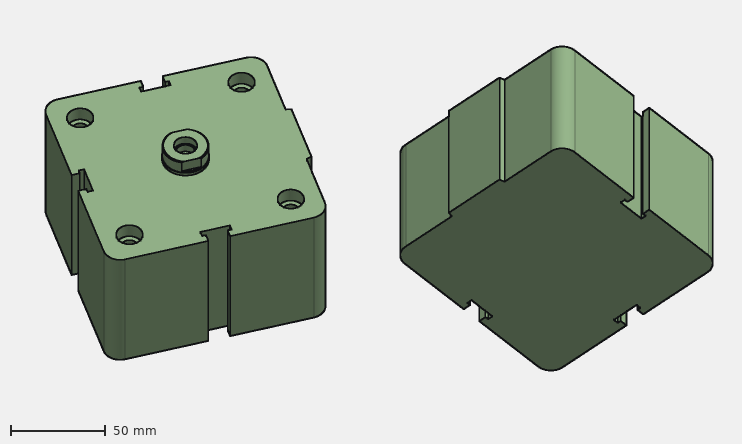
import cadquery as cq

OVERALL_LENGTH = 125.0

BLOCK_SIDE = 122.0
BLOCK_HEIGHT = 76.5
CORNER_RADIUS = 9.0

PAD_BASE_WIDTH = 38.0
PAD_FACE_WIDTH = 36.2
PAD_REACH = OVERALL_LENGTH - BLOCK_SIDE

SLOT_MOUTH_WIDTH = 12.0
SLOT_LIP = 4.5
SLOT_HEAD_WIDTH = 16.2
SLOT_DEPTH = 7.5
SLOT_ANGLES = (-90, 0, 90)

HOLE_SPACING = 89.0
HOLE_DIAMETER = 8.4
HOLE_DEPTH = 19.6
COUNTERBORE_DIAMETER = 14.0
COUNTERBORE_DEPTH = 8.5

ROD_HEIGHT = 10.0
COLLAR_DIAMETER = 25.0
COLLAR_HEIGHT = 2.0
TIP_DIAMETER = 24.5
TIP_CHAMFER = 0.5
FLATS_WIDTH = 22.0
FLATS_START = 3.0
BORE_DIAMETER = 10.2
BORE_ENTRY_DIAMETER = 12.2
BORE_ENTRY_DEPTH = 5.0


def make_pad():
    """Full-height pad on the +Y side, narrowing slightly towards its outer face."""
    half_block = BLOCK_SIDE / 2
    half_base = PAD_BASE_WIDTH / 2
    half_face = PAD_FACE_WIDTH / 2
    return (
        cq.Workplane("XY")
        .moveTo(-half_base, 0)
        .lineTo(-half_base, half_block)
        .lineTo(-half_face, half_block + PAD_REACH)
        .lineTo(half_face, half_block + PAD_REACH)
        .lineTo(half_base, half_block)
        .lineTo(half_base, 0)
        .close()
        .extrude(BLOCK_HEIGHT)
    )


def make_t_slot(angle):
    """Full-height T-slot cutter on the -Y side, turned about Z by the angle."""
    side = -BLOCK_SIDE / 2
    half_mouth = SLOT_MOUTH_WIDTH / 2
    half_head = SLOT_HEAD_WIDTH / 2
    slot = (
        cq.Workplane("XY")
        .moveTo(-half_mouth, side)
        .lineTo(-half_mouth, side + SLOT_LIP)
        .lineTo(-half_head, side + SLOT_LIP)
        .lineTo(-half_head, side + SLOT_DEPTH)
        .lineTo(half_head, side + SLOT_DEPTH)
        .lineTo(half_head, side + SLOT_LIP)
        .lineTo(half_mouth, side + SLOT_LIP)
        .lineTo(half_mouth, side)
        .close()
        .extrude(BLOCK_HEIGHT)
    )
    return slot.rotate((0, 0, 0), (0, 0, 1), angle)


def cut_corner_holes(block, diameter, depth):
    """Cut one flat-bottomed hole in each corner, down from the top face."""
    holes = (
        cq.Workplane("XY")
        .workplane(offset=BLOCK_HEIGHT)
        .rect(HOLE_SPACING, HOLE_SPACING, forConstruction=True)
        .vertices()
        .circle(diameter / 2)
        .extrude(-depth)
    )
    return block.cut(holes)


def make_housing():
    """Square block with rounded corners, pad, T-slots and corner holes."""
    block = (
        cq.Workplane("XY")
        .box(BLOCK_SIDE, BLOCK_SIDE, BLOCK_HEIGHT, centered=(True, True, False))
        .edges("|Z")
        .fillet(CORNER_RADIUS)
        .union(make_pad())
    )
    for angle in SLOT_ANGLES:
        block = block.cut(make_t_slot(angle))
    block = cut_corner_holes(block, HOLE_DIAMETER, HOLE_DEPTH)
    return cut_corner_holes(block, COUNTERBORE_DIAMETER, COUNTERBORE_DEPTH)


def make_rod():
    """Rod end with a collar, two wrench flats facing X and a stepped bore."""
    base = cq.Workplane("XY").workplane(offset=BLOCK_HEIGHT)
    collar = base.circle(COLLAR_DIAMETER / 2).extrude(COLLAR_HEIGHT)
    tip = base.circle(TIP_DIAMETER / 2).extrude(ROD_HEIGHT).faces(">Z").chamfer(TIP_CHAMFER)
    for side in (-1, 1):
        offcut = (
            base.workplane(offset=FLATS_START)
            .center(side * (FLATS_WIDTH + COLLAR_DIAMETER) / 2, 0)
            .rect(COLLAR_DIAMETER, COLLAR_DIAMETER)
            .extrude(ROD_HEIGHT)
        )
        tip = tip.cut(offcut)
    bore = base.circle(BORE_DIAMETER / 2).extrude(ROD_HEIGHT)
    bore_entry = (
        base.workplane(offset=ROD_HEIGHT)
        .circle(BORE_ENTRY_DIAMETER / 2)
        .extrude(-BORE_ENTRY_DEPTH)
    )
    return collar.union(tip).cut(bore).cut(bore_entry)


housing = make_housing()
rod = make_rod()

result = cq.Compound.makeCompound([housing.val(), rod.val()])